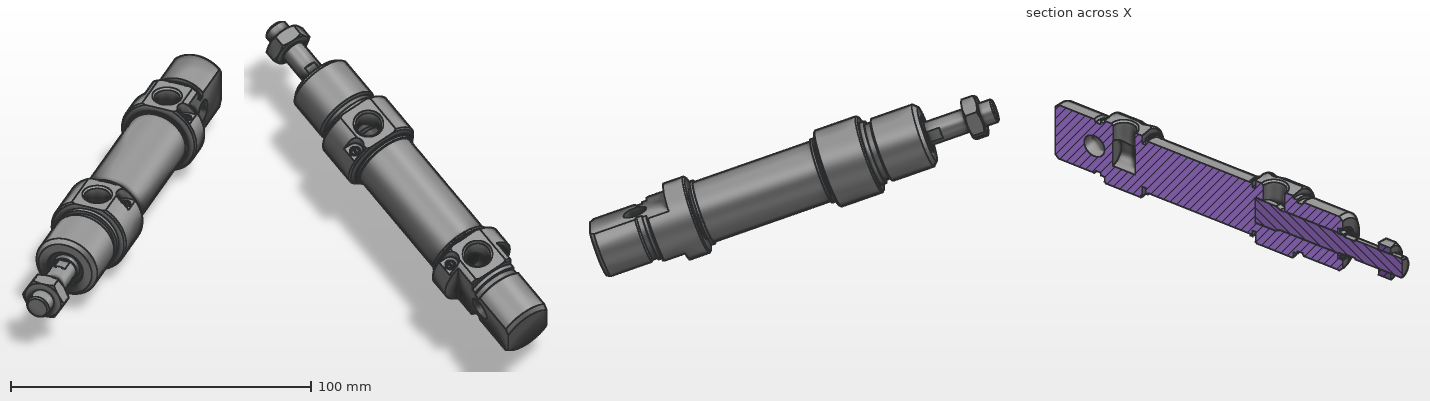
import cadquery as cq
import math


tip_y = 0.0
nut_front_y = 4.8
nut_thickness = 5.1
shoulder_length = 0.4
rod_flat_front_y = 19.3
rod_flat_rear_y = 23.7
nose_y = 24.3
front_groove_y = 40.8
front_groove_rear_y = 42.8
front_cap_y = 44.3
front_cap_rear_y = 59.9
front_collar_y = 61.0
collar_width = 0.8
rear_collar_y = 103.6
rear_cap_y = 105.8
rear_cap_rear_y = 121.1
rear_groove_y = 122.7
rear_groove_rear_y = 124.7
tail_y = 141.2

cap_diameter = 27.0
cap_chamfer = 0.5
top_flat_z = 12.0
thread_diameter = 22.0
groove_diameter = 19.9
groove_cone_length = 0.5
end_chamfer = 1.4
neck_diameter = 17.8
collar_diameter = 22.5
barrel_diameter = 21.2

eye_width = 16.0
eye_flat_front_y = 113.2
eye_hole_diameter = 8.0
eye_hole_y = 125.2

port_diameter = 8.6
port_mouth_diameter = 10.0
front_port_y = 52.2
rear_port_y = 113.2
rear_chamber_diameter = 10.0
rear_chamber_length = 9.0

screw_x = 8.5
screw_inset = 3.7
screw_seat_z = 7.9
screw_seat_diameter = 6.0
screw_hole_diameter = 3.5
screw_head_diameter = 2.4
screw_recess_depth = 1.0
screw_slot_width = 0.5

rod_diameter = 8.0
rod_flats = 7.0
rod_tip_chamfer = 0.5
shoulder_diameter = 7.3
cushion_diameter = 10.0
cushion_cone_front_y = 49.7
cushion_cone_rear_y = 51.3

seal_diameter = 12.0
seal_depth = 2.0
seal_base = 0.7
seal_lip_diameter = 8.5
seal_lip_base_diameter = 9.6
seal_lip_y = 24.0
seal_mouth_chamfer = 0.4

nut_flats = 13.0
nut_face_diameter = 13.0
nut_chamfer_angle = 30.0


def turned(profile):
    """Solid of revolution about Y from (diameter, y) points, closed along the axis."""
    points = [(diameter / 2, y) for diameter, y in profile]
    outline = [(0, points[0][1])] + points + [(0, points[-1][1])]
    return cq.Workplane("XY").polyline(outline).close().revolve(360, (0, 0, 0), (0, 1, 0))


def upright_cylinder(x, y, bottom_z, diameter, height):
    """Cylinder along +Z standing on bottom_z."""
    return cq.Workplane("XY", origin=(x, y, bottom_z)).circle(diameter / 2).extrude(height)


nut_rear_y = nut_front_y + nut_thickness
cushion_profile = [
    (rod_diameter, cushion_cone_front_y),
    (cushion_diameter, cushion_cone_rear_y),
    (cushion_diameter, front_cap_rear_y),
]


def make_rod():
    rod = turned([
        (rod_diameter - 2 * rod_tip_chamfer, tip_y),
        (rod_diameter, tip_y + rod_tip_chamfer),
        (rod_diameter, nut_rear_y),
        (shoulder_diameter, nut_rear_y),
        (rod_diameter, nut_rear_y + shoulder_length),
    ] + cushion_profile)
    flat_length = rod_flat_rear_y - rod_flat_front_y
    flat_cut_height = rod_diameter
    for side in (-1, 1):
        flat_cut = cq.Workplane("XY").box(rod_diameter, flat_length, flat_cut_height).translate(
            (0, rod_flat_front_y + flat_length / 2, side * (rod_flats + flat_cut_height) / 2))
        rod = rod.cut(flat_cut)
    return rod


def make_nut():
    corner_diameter = nut_flats / math.cos(math.pi / 6)
    drop = (corner_diameter - nut_face_diameter) / 2 * math.tan(math.radians(nut_chamfer_angle))
    hexagon = (cq.Workplane("XZ", origin=(0, nut_rear_y, 0))
               .polygon(6, corner_diameter).extrude(nut_thickness))
    chamfer_envelope = turned([
        (nut_face_diameter, nut_front_y),
        (corner_diameter, nut_front_y + drop),
        (corner_diameter, nut_rear_y - drop),
        (nut_face_diameter, nut_rear_y),
    ])
    bore = turned([(rod_diameter, nut_front_y), (rod_diameter, nut_rear_y)])
    return hexagon.intersect(chamfer_envelope).cut(bore)


def make_seal():
    seat_y = nose_y + seal_depth
    ring_y = seat_y - seal_base
    seal = turned([
        (seal_lip_diameter, seal_lip_y),
        (seal_lip_base_diameter, ring_y),
        (seal_diameter, ring_y),
        (seal_diameter, seat_y),
    ])
    return seal.cut(turned([(rod_diameter, seal_lip_y), (rod_diameter, seat_y)]))


def make_housing_blank():
    return turned([
        (thread_diameter - 2 * end_chamfer, nose_y),
        (thread_diameter, nose_y + end_chamfer),
        (thread_diameter, front_groove_y - groove_cone_length),
        (groove_diameter, front_groove_y),
        (groove_diameter, front_groove_rear_y),
        (thread_diameter, front_groove_rear_y),
        (thread_diameter, front_cap_y),
        (cap_diameter - 2 * cap_chamfer, front_cap_y),
        (cap_diameter, front_cap_y + cap_chamfer),
        (cap_diameter, front_cap_rear_y - cap_chamfer),
        (cap_diameter - 2 * cap_chamfer, front_cap_rear_y),
        (neck_diameter, front_cap_rear_y),
        (neck_diameter, front_collar_y),
        (collar_diameter, front_collar_y),
        (collar_diameter, front_collar_y + collar_width),
        (barrel_diameter, front_collar_y + collar_width),
        (barrel_diameter, rear_collar_y),
        (collar_diameter, rear_collar_y),
        (collar_diameter, rear_collar_y + collar_width),
        (neck_diameter, rear_collar_y + collar_width),
        (neck_diameter, rear_cap_y),
        (cap_diameter - 2 * cap_chamfer, rear_cap_y),
        (cap_diameter, rear_cap_y + cap_chamfer),
        (cap_diameter, rear_cap_rear_y - cap_chamfer),
        (cap_diameter - 2 * cap_chamfer, rear_cap_rear_y),
        (thread_diameter, rear_cap_rear_y),
        (thread_diameter, rear_groove_y),
        (groove_diameter, rear_groove_y),
        (groove_diameter, rear_groove_rear_y),
        (thread_diameter, rear_groove_rear_y + groove_cone_length),
        (thread_diameter, tail_y - end_chamfer),
        (thread_diameter - 2 * end_chamfer, tail_y),
    ])


def cut_top_flat(housing):
    length = tail_y - nose_y
    cutter = cq.Workplane("XY").box(cap_diameter, length, cap_diameter).translate(
        (0, nose_y + length / 2, top_flat_z + cap_diameter / 2))
    return housing.cut(cutter)


def cut_eye(housing):
    """Two side flats on the rear end and the cross hole through them."""
    length = tail_y - eye_flat_front_y
    for side in (-1, 1):
        cutter = cq.Workplane("XY").box(cap_diameter, length, cap_diameter).translate(
            (side * (eye_width + cap_diameter) / 2, eye_flat_front_y + length / 2, 0))
        housing = housing.cut(cutter)
    hole = (cq.Workplane("YZ").center(eye_hole_y, 0)
            .circle(eye_hole_diameter / 2).extrude(eye_width, both=True))
    return housing.cut(hole)


def cut_port(housing, y):
    """Air port from the top flat down to the axis, with a chamfered mouth."""
    mouth_depth = (port_mouth_diameter - port_diameter) / 2
    port = upright_cylinder(0, y, 0, port_diameter, top_flat_z)
    mouth = (cq.Workplane("XY", origin=(0, y, top_flat_z)).circle(port_mouth_diameter / 2)
             .workplane(offset=-mouth_depth).circle(port_diameter / 2).loft())
    return housing.cut(port).cut(mouth)


def cut_screw(housing, y):
    """Cushioning screw: round seat open to the side, annular recess around the head and a slot across it."""
    seat_opening_length = cap_diameter / 2 - screw_x
    seat = upright_cylinder(screw_x, y, screw_seat_z, screw_seat_diameter, cap_diameter)
    seat_opening = (cq.Workplane("XY", origin=(screw_x + seat_opening_length / 2, y, screw_seat_z))
                    .rect(seat_opening_length, screw_seat_diameter).extrude(cap_diameter))
    recess_z = screw_seat_z - screw_recess_depth
    recess = upright_cylinder(screw_x, y, recess_z, screw_hole_diameter, screw_recess_depth)
    head = upright_cylinder(screw_x, y, recess_z, screw_head_diameter, screw_recess_depth)
    slot = cq.Workplane("XY").box(screw_slot_width, screw_head_diameter, screw_recess_depth).translate(
        (screw_x, y, screw_seat_z - screw_recess_depth / 2))
    return housing.cut(seat).cut(seat_opening).cut(recess.cut(head.cut(slot)))


def make_housing():
    housing = cut_eye(cut_top_flat(make_housing_blank()))
    rod_bore = turned([(rod_diameter, nose_y)] + cushion_profile)
    seal_recess = turned([
        (seal_diameter + 2 * seal_mouth_chamfer, nose_y),
        (seal_diameter, nose_y + seal_mouth_chamfer),
        (seal_diameter, nose_y + seal_depth),
    ])
    rear_chamber = turned([
        (rear_chamber_diameter, rear_port_y - rear_chamber_length / 2),
        (rear_chamber_diameter, rear_port_y + rear_chamber_length / 2),
    ])
    housing = housing.cut(rod_bore).cut(seal_recess).cut(rear_chamber)
    for port_y in (front_port_y, rear_port_y):
        housing = cut_port(housing, port_y)
    for screw_y in (front_cap_rear_y - screw_inset, rear_cap_y + screw_inset):
        housing = cut_screw(housing, screw_y)
    return housing


housing = make_housing()
rod = make_rod()
nut = make_nut()
seal = make_seal()

result = cq.Compound.makeCompound([housing.val(), rod.val(), nut.val(), seal.val()])